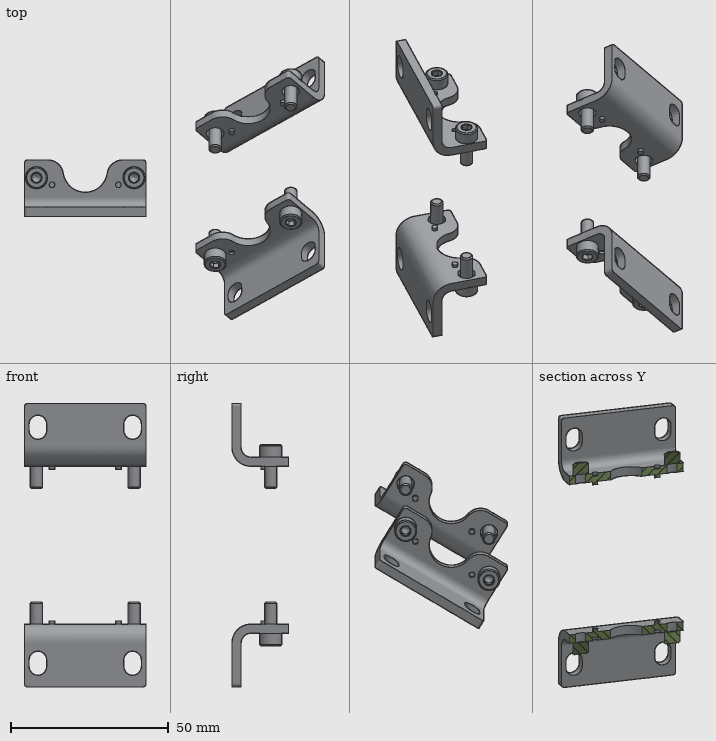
import cadquery as cq
import math

total_height = 90.0
mid_height = total_height / 2

width = 38.6
depth = 18.0
leg_height = 20.0
thickness = 3.0
bend_inner_radius = 3.1
bend_outer_radius = bend_inner_radius + thickness
corner_radius = 1.0
plate_bottom = total_height - leg_height
plate_top = plate_bottom + thickness

notch_radius = 7.0
notch_floor = 7.7
notch_shoulder_radius = 5.0

slot_width = 5.5
slot_length = 7.6
slot_spacing = 30.1
slot_drop = 7.6

pip_diameter = 1.8
pip_height = 1.0
pip_spacing = 21.1
pip_y = 10.1

screw_spacing = 31.0
screw_y = 12.3
screw_hole_diameter = 5.5
shank_diameter = 4.0
shank_length = 10.0
shank_chamfer = 0.45
head_diameter = 7.0
head_height = 4.0
head_chamfer = 0.4
socket_sides = 6
socket_half_side_angle = 180.0 / socket_sides
socket_across_flats = 3.0
socket_depth = 2.0
socket_rim_diameter = 3.5
socket_rim_depth = 0.2
socket_tip_angle = 120.0


def pair(spacing, y):
    """Two points placed symmetrically about X = 0."""
    return [(-spacing / 2, y), (spacing / 2, y)]


def bent_sheet():
    """L-shaped sheet with its plate at the bottom and its leg standing at Y = 0."""
    sheet = (
        cq.Workplane("YZ")
        .moveTo(0, total_height)
        .lineTo(0, plate_bottom)
        .lineTo(depth, plate_bottom)
        .lineTo(depth, plate_top)
        .lineTo(thickness, plate_top)
        .lineTo(thickness, total_height)
        .close()
        .extrude(width / 2, both=True)
    )
    inner_bend = cq.selectors.NearestToPointSelector((0, thickness, plate_top))
    outer_bend = cq.selectors.NearestToPointSelector((0, 0, plate_bottom))
    sheet = sheet.edges(inner_bend).fillet(bend_inner_radius)
    sheet = sheet.edges(outer_bend).fillet(bend_outer_radius)
    sheet = sheet.faces(">Z").edges("|Y").fillet(corner_radius)
    return sheet.faces(">Y").edges("|Z").fillet(corner_radius)


def notch_cutter():
    """Round notch whose sides flare into the free edge through tangent shoulder arcs."""
    notch_center_y = notch_floor + notch_radius
    shoulder_y = depth - notch_shoulder_radius
    center_distance = notch_radius + notch_shoulder_radius
    rise = notch_center_y - shoulder_y
    shoulder_x = math.sqrt(center_distance**2 - rise**2)
    tangent_x = shoulder_x * notch_radius / center_distance
    tangent_y = notch_center_y - rise * notch_radius / center_distance
    return (
        cq.Workplane("XY", origin=(0, 0, plate_bottom))
        .moveTo(-shoulder_x, depth)
        .radiusArc((-tangent_x, tangent_y), notch_shoulder_radius)
        .threePointArc((0, notch_floor), (tangent_x, tangent_y))
        .radiusArc((shoulder_x, depth), notch_shoulder_radius)
        .close()
        .extrude(thickness)
    )


def slot_cutters():
    """Upright slots through the leg."""
    return (
        cq.Workplane("XZ")
        .pushPoints(pair(slot_spacing, total_height - slot_drop))
        .slot2D(slot_length, slot_width, angle=90)
        .extrude(-thickness)
    )


def plate_cylinders(spacing, y, diameter, bottom, height):
    """Two upright cylinders at a given height, used for the holes and the pips."""
    plane = cq.Workplane("XY", origin=(0, 0, bottom))
    return plane.pushPoints(pair(spacing, y)).circle(diameter / 2).extrude(height)


def make_bracket():
    """Upper bracket: bent sheet with notch, slots, screw holes and locating pips."""
    screw_holes = plate_cylinders(screw_spacing, screw_y, screw_hole_diameter, plate_bottom, thickness)
    pip_recesses = plate_cylinders(pip_spacing, pip_y, pip_diameter, plate_top - pip_height, pip_height)
    pips = plate_cylinders(pip_spacing, pip_y, pip_diameter, plate_bottom - pip_height, pip_height)
    bracket = bent_sheet().cut(notch_cutter()).cut(slot_cutters())
    return bracket.cut(screw_holes).cut(pip_recesses).union(pips)


def socket_cutter(x):
    """Hexagon socket with a flared rim and a conical drill tip below it."""
    head_top = plate_top + head_height
    socket_corner_diameter = socket_across_flats / math.cos(math.radians(socket_half_side_angle))
    hexagon = (
        cq.Workplane("XY", origin=(x, screw_y, head_top))
        .transformed(rotate=(0, 0, socket_half_side_angle))
        .polygon(socket_sides, socket_corner_diameter)
        .extrude(-socket_depth)
    )
    drill_radius = socket_across_flats / 2
    drill_tip_depth = drill_radius / math.tan(math.radians(socket_tip_angle / 2))
    drill_tip = cq.Solid.makeCone(
        drill_radius, 0, drill_tip_depth, cq.Vector(x, screw_y, head_top - socket_depth), cq.Vector(0, 0, -1)
    )
    rim_flare = cq.Solid.makeCone(
        socket_rim_diameter / 2, drill_radius, socket_rim_depth, cq.Vector(x, screw_y, head_top), cq.Vector(0, 0, -1)
    )
    return hexagon.union(cq.Workplane(drill_tip)).union(cq.Workplane(rim_flare))


def make_screw(x):
    """Socket head cap screw pointing down, its head seated on the plate."""
    seat = cq.Workplane("XY", origin=(x, screw_y, plate_top))
    head = seat.circle(head_diameter / 2).extrude(head_height).faces(">Z").chamfer(head_chamfer)
    shank = seat.circle(shank_diameter / 2).extrude(-shank_length).faces("<Z").chamfer(shank_chamfer)
    return head.union(shank).cut(socket_cutter(x))


def lower_copy(body):
    """Mirror image of an upper body in the middle plane."""
    return body.mirror("XY", (0, 0, mid_height))


upper_bodies = [make_bracket()]
for screw_x, _ in pair(screw_spacing, screw_y):
    upper_bodies.append(make_screw(screw_x))

bodies = []
for body in upper_bodies:
    bodies.append(body.val())
    bodies.append(lower_copy(body).val())

result = cq.Compound.makeCompound(bodies)